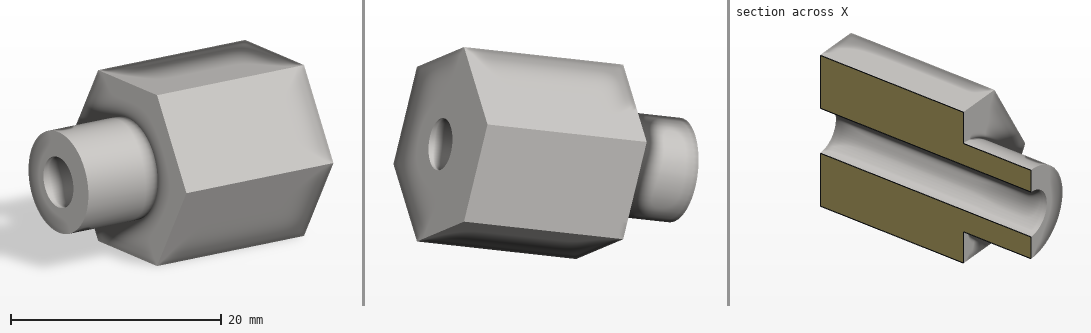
import cadquery as cq
import math

total_length = 25.0
hex_across_flats = 17.0
hex_length = 17.0
shank_diameter = 10.0
bore_diameter = 5.0

hex_across_corners = hex_across_flats / math.cos(math.radians(30))
shank_length = total_length - hex_length

front_face = cq.Workplane("XZ")
body = front_face.polygon(6, hex_across_corners).extrude(-hex_length)

shank = front_face.circle(shank_diameter / 2).extrude(shank_length)

bore = (
    cq.Workplane("XZ", origin=(0, hex_length, 0))
    .circle(bore_diameter / 2)
    .extrude(total_length)
)

result = body.union(shank).cut(bore)